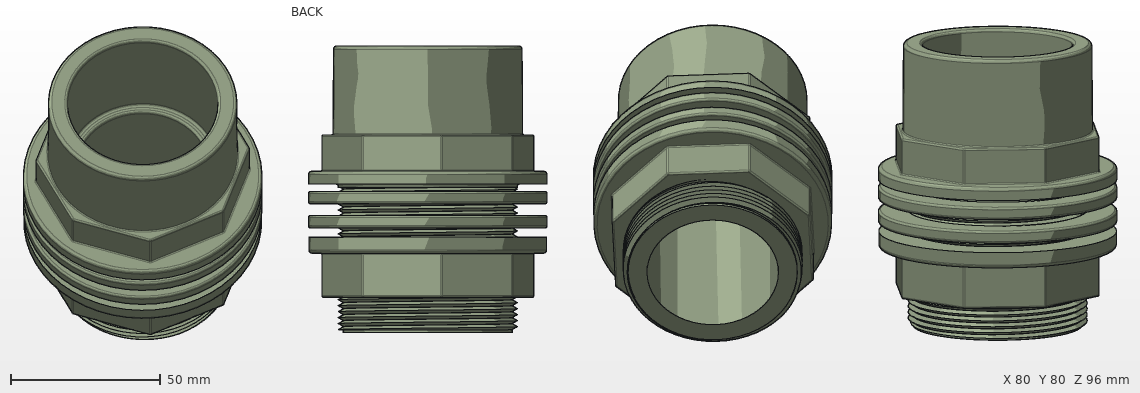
import cadquery as cq
import math

TOTAL_HEIGHT = 96.0
FLANGE_BOTTOM = 49.7
FLANGE_TOP = 54.0
GRIP_TOP = 66.2

FLANGE_DIAMETER = 80.0
FLANGE_FILLET = 1.2
WASHER_THICKNESS = 4.2
WASHER_FILLET = 0.8
WASHER_BOTTOMS = (35.0, 43.1)

GRIP_SIDES = 8
GRIP_ACROSS_FLATS = 66.2
GRIP_TURN = 7.4
GRIP_CORNER_FILLET = 1.0
GRIP_END_FILLET = 0.6
GRIP_ROOT_FILLET = 0.4

SPIGOT_BASE_RADIUS = 31.8
SPIGOT_TOP_RADIUS = 31.6
SPIGOT_TOP_FILLET = 1.2
SPIGOT_ROOT_FILLET = 0.4
SOCKET_MOUTH_RADIUS = 25.2
SOCKET_END_RADIUS = 24.9
SOCKET_DEPTH = 36.5
SOCKET_FILLET = 1.0
BORE_DIAMETER = 44.0

CORE_DIAMETER = 56.6
CREST_DIAMETER = 60.0
RIDGE_WIDTH = 1.9
RIDGE_OVERLAP = 0.05
THREAD_LENGTH = 48.0
THREAD_TURNS = 24
THREAD_PHASE = 1.1
THREAD_START = 1.0
NECK_BOTTOM = 48.6
NECK_FILLET = 0.8

NUT_BOTTOM = 11.8
NUT_FLANGE_BOTTOM = 26.6
NUT_TOP = 32.0
NUT_FLANGE_DIAMETER = 79.7

CORE_RADIUS = CORE_DIAMETER / 2
CREST_RADIUS = CREST_DIAMETER / 2
BORE_RADIUS = BORE_DIAMETER / 2
PITCH = THREAD_LENGTH / THREAD_TURNS


def disc(diameter, bottom, top):
    return cq.Workplane("XY").workplane(offset=bottom).circle(diameter / 2).extrude(top - bottom)


def revolved(profile):
    """Solid of revolution about Z of a closed profile of radii and heights."""
    return profile.close().revolve(360, (0, 0, 0), (0, 1, 0))


def grip(bottom, top):
    corner_diameter = GRIP_ACROSS_FLATS / math.cos(math.pi / GRIP_SIDES)
    prism = cq.Workplane("XY").workplane(offset=bottom).polygon(GRIP_SIDES, corner_diameter)
    prism = prism.extrude(top - bottom).edges("|Z").fillet(GRIP_CORNER_FILLET)
    return prism.rotate((0, 0, 0), (0, 0, 1), GRIP_TURN)


def flanged_grip(flange, grip_body, joint_height):
    """Joins a grip to its flange with a small fillet in the corner between them."""
    joined = flange.union(grip_body)

    def is_grip_root(edge):
        at_joint = abs(edge.Center().z - joint_height) < GRIP_ROOT_FILLET / 2
        return at_joint and edge.Length() < FLANGE_DIAMETER / 2

    return joined.edges().filter(is_grip_root).fillet(GRIP_ROOT_FILLET)


def thread_ridge(bottom, top):
    """Triangular thread ridge that runs past both given heights."""
    first_turn = math.floor((bottom - THREAD_PHASE) / PITCH) - 1
    last_turn = math.ceil((top - THREAD_PHASE) / PITCH) + 1
    start = THREAD_PHASE + first_turn * PITCH
    height = (last_turn - first_turn) * PITCH
    helix = cq.Wire.makeHelix(PITCH, height, CORE_RADIUS, center=cq.Vector(0, 0, start))
    root_radius = CORE_RADIUS - RIDGE_OVERLAP
    flank_slope = RIDGE_WIDTH / 2 / (CREST_RADIUS - CORE_RADIUS)
    root_half_width = flank_slope * (CREST_RADIUS - root_radius)
    return (
        cq.Workplane("XZ")
        .moveTo(root_radius, start - root_half_width)
        .lineTo(CREST_RADIUS, start)
        .lineTo(root_radius, start + root_half_width)
        .close()
        .sweep(cq.Workplane(helix), isFrenet=True)
    )


def spigot():
    body = revolved(
        cq.Workplane("XZ")
        .moveTo(0, GRIP_TOP)
        .lineTo(SPIGOT_BASE_RADIUS + SPIGOT_ROOT_FILLET, GRIP_TOP)
        .radiusArc((SPIGOT_BASE_RADIUS, GRIP_TOP + SPIGOT_ROOT_FILLET), SPIGOT_ROOT_FILLET)
        .lineTo(SPIGOT_TOP_RADIUS, TOTAL_HEIGHT)
        .lineTo(0, TOTAL_HEIGHT)
    )
    return body.faces(">Z").edges().fillet(SPIGOT_TOP_FILLET)


def neck():
    """Plain stretch between the thread and the flange."""
    return revolved(
        cq.Workplane("XZ")
        .moveTo(0, NECK_BOTTOM)
        .lineTo(CREST_RADIUS, NECK_BOTTOM)
        .lineTo(CREST_RADIUS, FLANGE_BOTTOM - NECK_FILLET)
        .radiusArc((CREST_RADIUS + NECK_FILLET, FLANGE_BOTTOM), NECK_FILLET)
        .lineTo(0, FLANGE_BOTTOM)
    )


def passage():
    """Bore through the housing, opening at a rounded ledge into the tapered socket."""
    ledge = TOTAL_HEIGHT - SOCKET_DEPTH
    return revolved(
        cq.Workplane("XZ")
        .lineTo(BORE_RADIUS, 0)
        .lineTo(BORE_RADIUS, ledge - SOCKET_FILLET)
        .radiusArc((BORE_RADIUS + SOCKET_FILLET, ledge), SOCKET_FILLET)
        .lineTo(SOCKET_END_RADIUS - SOCKET_FILLET, ledge)
        .radiusArc((SOCKET_END_RADIUS, ledge + SOCKET_FILLET), -SOCKET_FILLET)
        .lineTo(SOCKET_MOUTH_RADIUS, TOTAL_HEIGHT - SOCKET_FILLET)
        .radiusArc((SOCKET_MOUTH_RADIUS + SOCKET_FILLET, TOTAL_HEIGHT), SOCKET_FILLET)
        .lineTo(0, TOTAL_HEIGHT)
    )


def make_housing():
    flange = disc(FLANGE_DIAMETER, FLANGE_BOTTOM, FLANGE_TOP).faces(">Z").edges().fillet(FLANGE_FILLET)
    grip_body = grip(FLANGE_TOP, GRIP_TOP).faces(">Z").edges().fillet(GRIP_END_FILLET)
    upper = flanged_grip(flange, grip_body, FLANGE_TOP).union(spigot()).union(neck())

    ridge = thread_ridge(THREAD_START, NECK_BOTTOM)
    ridge = ridge.intersect(disc(FLANGE_DIAMETER, THREAD_START, NECK_BOTTOM))
    shank = disc(CORE_DIAMETER, 0, FLANGE_BOTTOM).union(ridge, clean=False)
    return shank.union(upper, clean=False).cut(passage(), clean=False)


def make_washer(bottom):
    top = bottom + WASHER_THICKNESS
    blank = disc(FLANGE_DIAMETER, bottom, top).edges().fillet(WASHER_FILLET)
    return blank.cut(disc(CREST_DIAMETER, bottom, top))


def make_nut():
    """Nut whose internal thread matches the thread of the housing."""
    flange = disc(NUT_FLANGE_DIAMETER, NUT_FLANGE_BOTTOM, NUT_TOP).faces("<Z").edges().fillet(FLANGE_FILLET)
    grip_body = grip(NUT_BOTTOM, NUT_FLANGE_BOTTOM).faces("<Z").edges().fillet(GRIP_END_FILLET)
    blank = flanged_grip(flange, grip_body, NUT_FLANGE_BOTTOM)
    core = disc(CORE_DIAMETER, NUT_BOTTOM - PITCH, NUT_TOP + PITCH)
    thread_form = core.union(thread_ridge(NUT_BOTTOM, NUT_TOP), clean=False)
    return blank.cut(thread_form, clean=False)


housing = make_housing()
washers = [make_washer(bottom).val() for bottom in WASHER_BOTTOMS]
nut = make_nut()
result = cq.Compound.makeCompound([housing.solids().val(), *washers, nut.solids().val()])